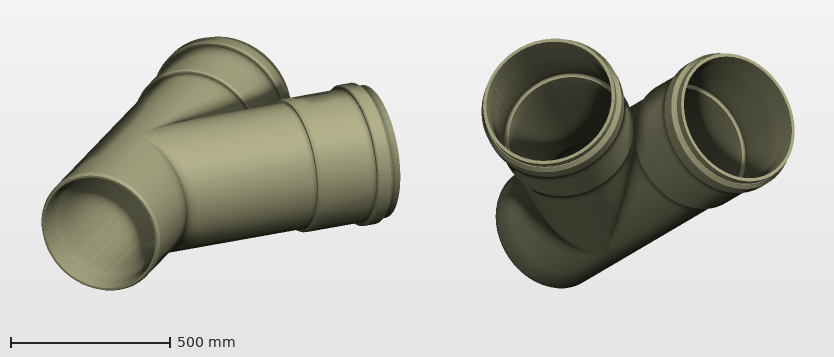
import cadquery as cq
import math

total_length = 1102.0
inlet_length = 324.0
branch_length = 807.0
branch_angle = 45.0
main_length = total_length - inlet_length

bore_diameter = 376.0
pipe_diameter = 400.0
socket_bore_diameter = 402.0
ring_diameter = 423.0
socket_diameter = 424.0
socket_rim_diameter = 428.0
collar_diameter = 450.0

ring_length = 24.0
collar_start = 36.0
collar_end = 82.0
socket_length = 280.0
socket_floor_thickness = 12.0

collar_edge_length = 4.0
collar_edge_depth = 3.0
socket_edge_length = 9.0
socket_edge_depth = 3.0
spigot_edge_length = 11.0
spigot_edge_depth = 5.0

bore_radius = bore_diameter / 2
pipe_radius = pipe_diameter / 2
socket_bore_radius = socket_bore_diameter / 2
socket_radius = socket_diameter / 2
collar_radius = collar_diameter / 2

branch_start = -pipe_diameter * math.tan(math.radians(branch_angle / 2))

outlets = [(main_length, 0.0), (branch_length, -branch_angle)]


def revolve_about_y(points):
    return cq.Workplane("XY").polyline(points).close().revolve(360, (0, 0, 0), (0, 1, 0))


def turn(body, angle):
    return body.rotate((0, 0, 0), (0, 0, 1), angle)


def outlet_outside(length, start, edge_length=0.0, edge_depth=0.0):
    """Solid outer form of a pipe from its start, with an optional tapered edge, to its socket."""
    socket_base = length - socket_length
    collar_bottom = length - collar_end
    collar_top = length - collar_start
    rim = length - ring_length
    start_edge = [(0, start), (pipe_radius - edge_depth, start)]
    if edge_depth > 0:
        start_edge.append((pipe_radius, start + edge_length))
    return revolve_about_y([
        *start_edge,
        (pipe_radius, socket_base),
        (socket_radius - socket_edge_depth, socket_base),
        (socket_radius, socket_base + socket_edge_length),
        (socket_radius, collar_bottom),
        (collar_radius - collar_edge_depth, collar_bottom),
        (collar_radius, collar_bottom + collar_edge_length),
        (collar_radius, collar_top),
        (socket_rim_diameter / 2, rim),
        (0, rim),
    ])


def outlet_cavity(length, start):
    """Pipe bore that widens into the socket bore."""
    socket_floor = length - socket_length + socket_floor_thickness
    return revolve_about_y([
        (0, start),
        (bore_radius, start),
        (bore_radius, socket_floor),
        (socket_bore_radius, socket_floor),
        (socket_bore_radius, length),
        (0, length),
    ])


def branch_quadrant():
    """Region that belongs to the branch, bounded by the two mitre planes.

    The pipes have equal diameters, so they meet in two planes that bisect the angles between
    their axes. These planes are square to each other and cross at the axis crossing.
    """
    size = 2 * total_length
    quadrant = cq.Workplane("XY").box(size, size, size, centered=(False, False, True))
    return turn(quadrant, -branch_angle / 2)


def join_at_mitre(main, branch):
    quadrant = branch_quadrant()
    return main.cut(quadrant).union(turn(branch, -branch_angle).intersect(quadrant))


def make_fitting():
    outside = join_at_mitre(
        outlet_outside(main_length, -inlet_length, spigot_edge_length, spigot_edge_depth),
        outlet_outside(branch_length, branch_start),
    )
    cavity = join_at_mitre(
        outlet_cavity(main_length, -inlet_length),
        outlet_cavity(branch_length, branch_start),
    )
    return outside.cut(cavity)


def make_mouth_ring(length, angle):
    """Ring seated on the rim of a socket, flush with the socket bore."""
    ring = (
        cq.Workplane("XZ")
        .workplane(offset=-length)
        .circle(ring_diameter / 2)
        .circle(socket_bore_radius)
        .extrude(ring_length)
    )
    return turn(ring, angle)


fitting = make_fitting()
mouth_rings = [make_mouth_ring(length, angle) for length, angle in outlets]

crossing = cq.Vector(0, inlet_length - total_length / 2, 0)
result = cq.Compound.makeCompound(
    [fitting.val().translate(crossing)] + [ring.val().translate(crossing) for ring in mouth_rings]
)